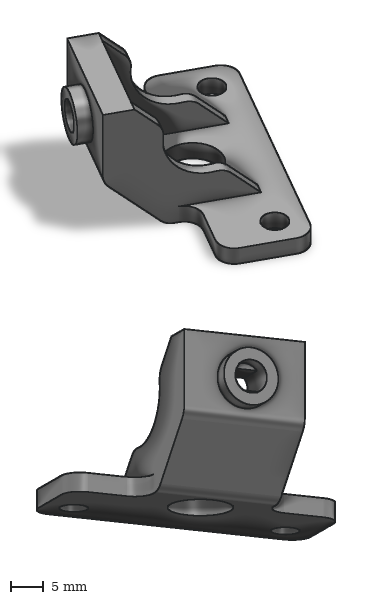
import cadquery as cq
import math

plate_length = 45
plate_depth = 15.0
plate_thickness = 3.0
round_radius = plate_thickness
screw_hole_diameter = 4.4
screw_hole_inset = 5.0

bracket_width = 20.0
bracket_height = 23.0
side_wall = 2.0
front_wall = 5.0
front_y = -30.0
inner_face_y = front_y + front_wall
rib_foot_y = inner_face_y + bracket_height - plate_thickness
outer_slope_rise = 10.0
outer_slope_foot_y = front_y + outer_slope_rise
inner_slope_run = 6.0
inner_slope_foot_y = inner_face_y + inner_slope_run
inner_slope_top_z = plate_thickness + inner_slope_run

axis_y = -13.0
axis_z = 16.0
floor_hole_diameter = 10.0
saddle_radius = 7.5
boss_diameter = 9.0
boss_length = 2.48
bore_diameter = 5.2
slot_height = 3.3


def extrude_across(profile, width):
    """Extrude a closed YZ profile symmetrically about X = 0."""
    return profile.close().extrude(width / 2, both=True)


def make_plate():
    wings = (
        cq.Workplane("XY")
        .rect(plate_length, plate_depth)
        .extrude(plate_thickness)
        .translate((0, -plate_depth / 2, 0))
        .edges("|Z")
        .fillet(round_radius)
    )
    stem_depth = plate_depth + round_radius
    flare_width = bracket_width + 2 * round_radius
    flared_stem = (
        cq.Workplane("XY")
        .rect(flare_width, stem_depth)
        .extrude(plate_thickness)
        .translate((0, -stem_depth / 2, 0))
    )
    corner_rounds = (
        cq.Workplane("XY")
        .pushPoints([(-flare_width / 2, -stem_depth), (flare_width / 2, -stem_depth)])
        .circle(round_radius)
        .extrude(plate_thickness)
    )
    plate = wings.union(flared_stem.cut(corner_rounds))
    screw_x = plate_length / 2 - screw_hole_inset
    screw_y = -screw_hole_inset
    screw_holes = (
        cq.Workplane("XY")
        .pushPoints([(-screw_x, screw_y), (screw_x, screw_y)])
        .circle(screw_hole_diameter / 2)
        .extrude(plate_thickness)
    )
    return plate.cut(screw_holes)


def fillet_across(body, points):
    """Round the X-direction edges that pass nearest to the given (y, z) points."""
    for y, z in points:
        edge = cq.selectors.NearestToPointSelector((0, y, z))
        body = body.edges("|X").edges(edge).fillet(round_radius)
    return body


def make_bracket():
    outline = cq.Workplane("YZ").polyline([
        (rib_foot_y, 0),
        (outer_slope_foot_y, 0),
        (front_y, outer_slope_rise),
        (front_y, bracket_height),
        (inner_face_y, bracket_height),
        (rib_foot_y, plate_thickness),
    ])
    saddle = (
        cq.Workplane("YZ")
        .center(axis_y, axis_z)
        .circle(saddle_radius)
        .extrude(bracket_width / 2, both=True)
    )
    bracket = extrude_across(outline, bracket_width).cut(saddle)

    edge_rise = plate_thickness + rib_foot_y
    chord_distance = abs(edge_rise - axis_y - axis_z) / math.sqrt(2)
    chord_half = math.sqrt(saddle_radius**2 - chord_distance**2)
    chord_y = (axis_y + edge_rise - axis_z) / 2
    chord_ends = [chord_y + side * chord_half / math.sqrt(2) for side in (-1, 1)]
    rounded_edges = [(y, edge_rise - y) for y in chord_ends]
    rounded_edges += [(outer_slope_foot_y, 0), (front_y, outer_slope_rise)]
    return fillet_across(bracket, rounded_edges)


def make_pocket():
    """Space between the side walls, open to the rear."""
    outline = cq.Workplane("YZ").polyline([
        (0, plate_thickness),
        (inner_slope_foot_y, plate_thickness),
        (inner_face_y, inner_slope_top_z),
        (inner_face_y, bracket_height),
        (0, bracket_height),
    ])
    pocket = extrude_across(outline, bracket_width - 2 * side_wall)
    return fillet_across(
        pocket,
        [(inner_slope_foot_y, plate_thickness), (inner_face_y, inner_slope_top_z)],
    )


def front_cylinder(diameter, start_y, length):
    """Cylinder on the boss axis, running toward -Y from start_y."""
    return (
        cq.Workplane("XZ", origin=(0, start_y, axis_z))
        .circle(diameter / 2)
        .extrude(length)
    )


def make_bore():
    """Round bore through the boss, narrowed by two horizontal flats in the front wall."""
    slot = front_cylinder(bore_diameter, inner_face_y, front_wall).intersect(
        cq.Workplane("XY")
        .box(bore_diameter, 2 * front_wall, slot_height)
        .translate((0, inner_face_y, axis_z))
    )
    return slot.union(front_cylinder(bore_diameter, front_y, boss_length))


floor_hole = (
    cq.Workplane("XY")
    .center(0, axis_y)
    .circle(floor_hole_diameter / 2)
    .extrude(axis_z)
)
boss = front_cylinder(boss_diameter, front_y, boss_length)

result = make_bracket().cut(make_pocket()).union(make_plate()).union(boss)
result = result.cut(floor_hole).cut(make_bore())